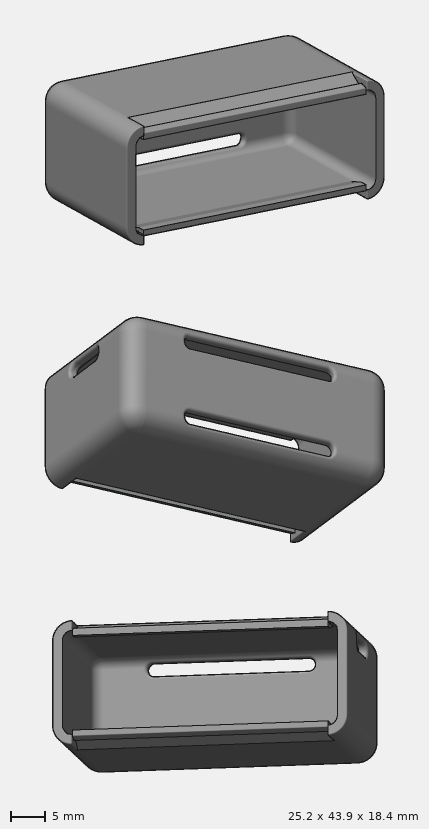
import cadquery as cq

length_x = 25.2
width_y = 43.85
height_z = 18.4
corner_radius = 3.0
wall = 1.5
mouth_radius = 0.18

slot_height = 1.95
slot_rim_radius = 0.5
slot_offset_z = 5.95
end_slot_length = 24.9
side_slot_length = 8.4
side_slot_height = 2.1
side_slot_x = 13.6

ledge_half_width = 19.0
cheek_edge_radius = 0.18
ledge_start_x = 20.85
groove_x = 23.65
groove_depth = 1.75
groove_radius = 0.2
ridge_depth = 0.88
ledge_end_x = 24.9
ledge_end_depth = 1.25
ledge_end_radius = 0.15
lip_thickness = 0.45

clearance = 0.45

mid_z = height_z / 2
upper_slot_z = mid_z + slot_offset_z
lower_slot_z = mid_z - slot_offset_z


def make_shell():
    """Rounded box with a rounded cavity that leaves an even wall."""
    outer = (
        cq.Workplane("XY")
        .box(length_x, width_y, height_z, centered=(False, True, False))
        .edges("|X or <X")
        .fillet(corner_radius)
        .faces(">X")
        .edges()
        .fillet(mouth_radius)
    )
    cavity = (
        cq.Workplane("XY")
        .box(length_x, width_y - 2 * wall, height_z - 2 * wall, centered=(False, True, False))
        .edges("|X or <X")
        .fillet(corner_radius - wall)
        .translate((wall, 0, wall))
    )
    return outer.cut(cavity)


def cut_end_slot(body, z):
    """Long slot along Y through the closed end wall, rounded at both mouths."""
    cutter = (
        cq.Workplane("YZ", origin=(-wall, 0, z))
        .slot2D(end_slot_length, slot_height)
        .extrude(3 * wall)
    )
    mouths = cq.selectors.BoxSelector(
        (-clearance, -end_slot_length / 2 - clearance, z - slot_height / 2 - clearance),
        (wall + clearance, end_slot_length / 2 + clearance, z + slot_height / 2 + clearance),
    )
    return round_slot_mouths(body.cut(cutter), mouths, "X")


def cut_side_slot(body):
    """Short slot along X through the +Y wall, rounded at both mouths."""
    outer_y = width_y / 2
    cutter = (
        cq.Workplane("XZ", origin=(side_slot_x, outer_y + wall, upper_slot_z))
        .slot2D(side_slot_length, side_slot_height)
        .extrude(3 * wall)
    )
    low_x = side_slot_x - side_slot_length / 2
    low_z = upper_slot_z - side_slot_height / 2
    mouths = cq.selectors.BoxSelector(
        (low_x - clearance, outer_y - wall - clearance, low_z - clearance),
        (low_x + side_slot_length + clearance, outer_y + clearance, low_z + side_slot_height + clearance),
    )
    return round_slot_mouths(body.cut(cutter), mouths, "Y")


def round_slot_mouths(body, mouths, through_axis):
    """Round the inner and outer mouth of a slot, leaving the seams inside it sharp."""
    return body.edges(mouths).edges(f"not |{through_axis}").fillet(slot_rim_radius)


def make_ledge_cutter():
    """Material removed above the top snap ledge: a ramp, a groove, a ridge and a shortened end."""
    clear_x = length_x + clearance
    clear_z = height_z + clearance
    return (
        cq.Workplane("XZ", origin=(0, ledge_half_width, 0))
        .moveTo(ledge_start_x, clear_z)
        .lineTo(ledge_start_x, height_z)
        .lineTo(groove_x, height_z - groove_depth)
        .lineTo(groove_x, height_z - ridge_depth)
        .lineTo(ledge_end_x, height_z - ledge_end_depth)
        .lineTo(ledge_end_x, mid_z)
        .lineTo(clear_x, mid_z)
        .lineTo(clear_x, clear_z)
        .close()
        .extrude(2 * ledge_half_width)
        .edges(cq.selectors.NearestToPointSelector((groove_x, 0, height_z - groove_depth)))
        .fillet(groove_radius)
    )


def make_lip():
    """Thickening inside the top wall that backs the groove and the ridge of the snap ledge."""
    lip_z = height_z - groove_depth - lip_thickness
    joint_z = height_z - wall
    return (
        cq.Workplane("XZ", origin=(0, ledge_half_width, 0))
        .moveTo(ledge_start_x, joint_z)
        .lineTo(groove_x, lip_z)
        .lineTo(ledge_end_x, lip_z)
        .lineTo(ledge_end_x, joint_z + wall / 2)
        .lineTo(ledge_start_x, joint_z + wall / 2)
        .close()
        .extrude(2 * ledge_half_width)
    )


def mirror_to_bottom(body):
    """Copy of a top-wall body, flipped onto the bottom wall."""
    return body.mirror("XY", (0, 0, mid_z))


def round_ledge_edges(body, ledge_z):
    """Round the end of one ledge and the long edges of the cheeks beside it."""
    into_part = 1 if ledge_z == 0 else -1
    end_middle = (ledge_end_x, 0, ledge_z + into_part * ledge_end_depth)
    body = body.edges(cq.selectors.NearestToPointSelector(end_middle)).fillet(ledge_end_radius)
    for side in (-1, 1):
        cheek_middle = ((ledge_start_x + length_x) / 2, side * ledge_half_width, ledge_z)
        body = body.edges(cq.selectors.NearestToPointSelector(cheek_middle)).fillet(cheek_edge_radius)
    return body


result = make_shell()
for slot_z in (upper_slot_z, lower_slot_z):
    result = cut_end_slot(result, slot_z)
result = cut_side_slot(result)

lip = make_lip()
ledge_cutter = make_ledge_cutter()
result = result.union(lip).union(mirror_to_bottom(lip))
result = result.cut(ledge_cutter).cut(mirror_to_bottom(ledge_cutter))
for ledge_z in (0, height_z):
    result = round_ledge_edges(result, ledge_z)